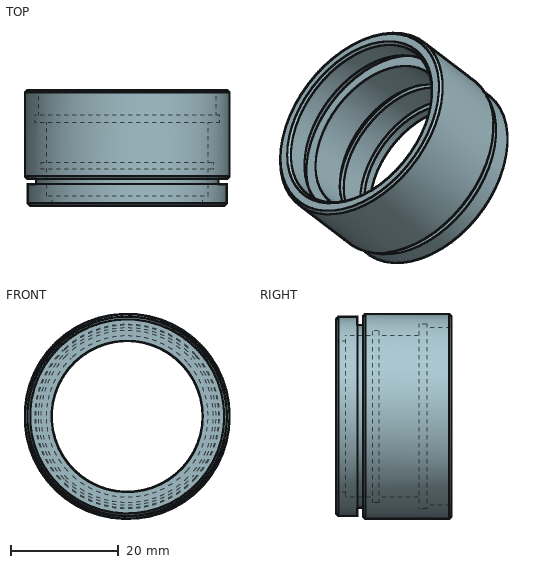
import cadquery as cq

outer_diameter = 38.1
length = 21.5
edge_chamfer = 0.5

collar_diameter = 37.05
collar_length = 4.0
outer_groove_diameter = 34.0
outer_groove_width = 1.0

lip_diameter = 28.0
lip_length = 1.83
bore_diameter = 30.02

rear_bore_diameter = 33.0
rear_bore_start = 15.43

front_groove_diameter = 32.0
front_groove_start = 6.82
front_groove_width = 1.2

rear_groove_diameter = 34.3
rear_groove_width = 1.45


def cylinder(diameter, start, depth):
    """Solid cylinder along +Y, beginning at Y = start."""
    plane = cq.Workplane("XZ", origin=(0, start, 0))
    return plane.circle(diameter / 2).extrude(-depth)


collar = cylinder(collar_diameter, 0, collar_length).faces("<Y").chamfer(edge_chamfer)
main_start = collar_length + outer_groove_width
main_ring = cylinder(outer_diameter, main_start, length - main_start)
main_ring = main_ring.faces("<Y or >Y").chamfer(edge_chamfer)
core = cylinder(outer_groove_diameter, edge_chamfer, length - 2 * edge_chamfer)
body = core.union(collar).union(main_ring)

lip_hole = cylinder(lip_diameter, 0, length)
main_bore = cylinder(bore_diameter, lip_length, length - lip_length)
body = body.cut(lip_hole).cut(main_bore)

body = body.cut(cylinder(rear_bore_diameter, rear_bore_start, length - rear_bore_start))
mouth_radius = rear_bore_diameter / 2 + edge_chamfer
mouth_plane = cq.Workplane("XZ", origin=(0, length, 0))
mouth = mouth_plane.circle(mouth_radius).extrude(edge_chamfer, taper=45)
body = body.cut(mouth)

body = body.cut(cylinder(front_groove_diameter, front_groove_start, front_groove_width))
body = body.cut(cylinder(rear_groove_diameter, rear_bore_start, rear_groove_width))

result = body